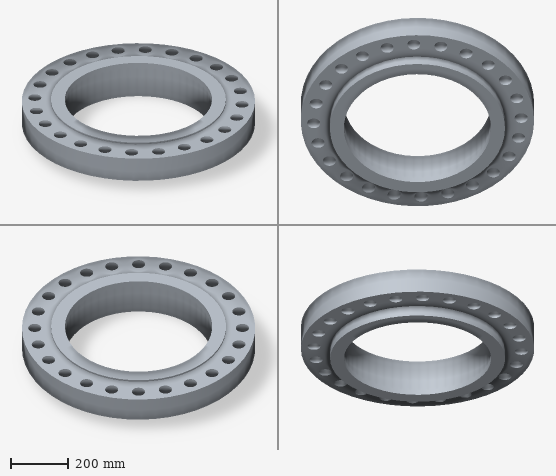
import cadquery as cq

flange_diameter = 813.0
total_height = 133.0
bore_diameter = 513.0

face_diameter = 610.0
face_height = 6.5
hub_diameter = face_diameter
hub_height = 38.0
flange_thickness = total_height - face_height - hub_height

bolt_count = 24
bolt_circle_diameter = 723.0
bolt_hole_diameter = 45.5
bolt_pitch_angle = 360 / bolt_count


def make_body():
    """Stack the hub, the flange disc and the raised face."""
    return (
        cq.Workplane("XY")
        .circle(hub_diameter / 2)
        .extrude(hub_height)
        .faces(">Z")
        .workplane()
        .circle(flange_diameter / 2)
        .extrude(flange_thickness)
        .faces(">Z")
        .workplane()
        .circle(face_diameter / 2)
        .extrude(face_height)
    )


def make_bore():
    """Through bore along the flange axis."""
    return cq.Workplane("XY").circle(bore_diameter / 2).extrude(total_height)


def make_bolt_holes():
    """Ring of through holes, half a pitch away from the X axis."""
    return (
        cq.Workplane("XY")
        .polarArray(bolt_circle_diameter / 2, bolt_pitch_angle / 2, 360, bolt_count)
        .circle(bolt_hole_diameter / 2)
        .extrude(total_height)
    )


result = make_body().cut(make_bore()).cut(make_bolt_holes())